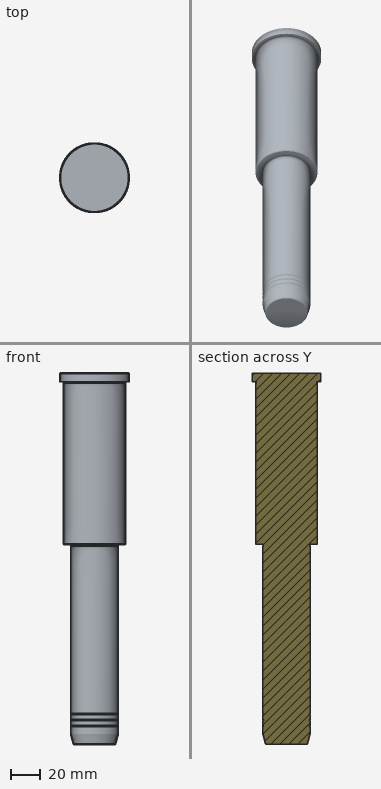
import cadquery as cq

LENGTH = 251.0
HEAD_DIAMETER = 47.0
SLEEVE_DIAMETER = 42.0
SHAFT_DIAMETER = 32.1

HEAD_HEIGHT = 6.0
SLEEVE_LENGTH = 110.0
HEAD_CHAMFER = 0.5
SLEEVE_CHAMFER = 0.5

RELIEF_WIDTH = 1.0
RELIEF_DEPTH = 0.3

GROOVE_COUNT = 3
GROOVE_WIDTH = 1.0
GROOVE_DEPTH = 0.5
GROOVE_PITCH = 4.0
LOWEST_GROOVE_HEIGHT = 12.0

NOSE_HEIGHT = 7.0
NOSE_END_DIAMETER = 28.5
NOSE_END_CHAMFER = 0.5

HEAD_BOTTOM = LENGTH - HEAD_HEIGHT
SLEEVE_BOTTOM = HEAD_BOTTOM - SLEEVE_LENGTH


def pin_body():
    """Revolve the half profile: nose, shaft, sleeve and head."""
    nose_radius = NOSE_END_DIAMETER / 2
    shaft_radius = SHAFT_DIAMETER / 2
    sleeve_radius = SLEEVE_DIAMETER / 2
    head_radius = HEAD_DIAMETER / 2
    profile = (
        cq.Workplane("XZ")
        .lineTo(nose_radius - NOSE_END_CHAMFER, 0)
        .lineTo(nose_radius, NOSE_END_CHAMFER)
        .lineTo(shaft_radius, NOSE_HEIGHT)
        .lineTo(shaft_radius, SLEEVE_BOTTOM)
        .lineTo(sleeve_radius - SLEEVE_CHAMFER, SLEEVE_BOTTOM)
        .lineTo(sleeve_radius, SLEEVE_BOTTOM + SLEEVE_CHAMFER)
        .lineTo(sleeve_radius, HEAD_BOTTOM)
        .lineTo(head_radius, HEAD_BOTTOM)
        .lineTo(head_radius, LENGTH - HEAD_CHAMFER)
        .lineTo(head_radius - HEAD_CHAMFER, LENGTH)
        .lineTo(0, LENGTH)
        .close()
    )
    return profile.revolve(360, (0, 0, 0), (0, 1, 0))


def groove_ring(diameter, bottom, width, depth):
    """Ring that cuts a V-shaped groove into a cylinder of the given diameter."""
    radius = diameter / 2
    section = cq.Workplane("XZ").polyline(
        [(radius, bottom), (radius - depth, bottom + width / 2), (radius, bottom + width)]
    )
    return section.close().revolve(360, (0, 0, 0), (0, 1, 0))


def relief_ring(diameter, shoulder_height):
    """Ring that cuts a relief below a shoulder, straight at first and then sloping out."""
    radius = diameter / 2
    section = cq.Workplane("XZ").polyline(
        [
            (radius, shoulder_height),
            (radius - RELIEF_DEPTH, shoulder_height),
            (radius - RELIEF_DEPTH, shoulder_height - RELIEF_WIDTH / 2),
            (radius, shoulder_height - RELIEF_WIDTH),
        ]
    )
    return section.close().revolve(360, (0, 0, 0), (0, 1, 0))


result = pin_body()

for shoulder_diameter, shoulder_height in (
    (SLEEVE_DIAMETER, HEAD_BOTTOM),
    (SHAFT_DIAMETER, SLEEVE_BOTTOM),
):
    result = result.cut(relief_ring(shoulder_diameter, shoulder_height))

for index in range(GROOVE_COUNT):
    groove_bottom = LOWEST_GROOVE_HEIGHT + index * GROOVE_PITCH
    result = result.cut(groove_ring(SHAFT_DIAMETER, groove_bottom, GROOVE_WIDTH, GROOVE_DEPTH))